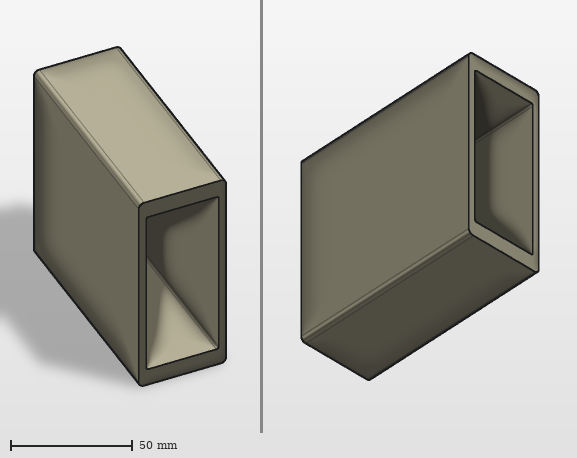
import cadquery as cq

length = 100.0
width = 40.0
height = 95.0
side_wall = 3.5
end_wall = 8.0
outer_radius = 2.5
inner_radius = 1.0


def rounded_bar(bar_width, bar_height, corner_radius):
    """Bar along X with its four long edges rounded."""
    bar = cq.Workplane("XY").box(length, bar_width, bar_height)
    return bar.edges("|X").fillet(corner_radius)


outer_body = rounded_bar(width, height, outer_radius)
bore = rounded_bar(width - 2 * side_wall, height - 2 * end_wall, inner_radius)

result = outer_body.cut(bore)